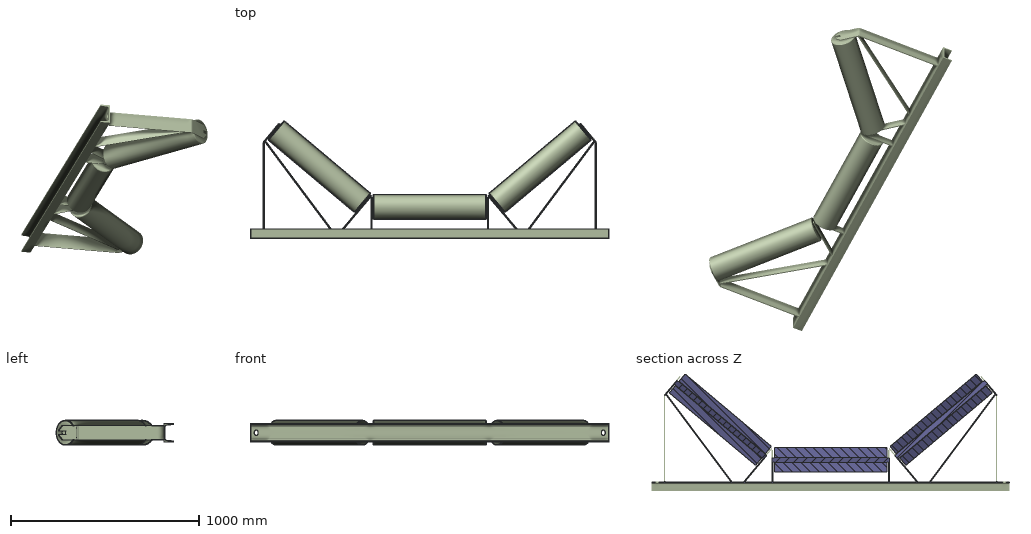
import cadquery as cq
import math

beam_length = 1900
beam_height = 100
flange_width = 50
web_thickness = 6
flange_thickness = 8.5
flange_taper = math.radians(4.574)
root_radius = 8.5
mount_slot_width = 18
mount_slot_height = 28
mount_slot_end_distance = 29

roller_radius = 133 / 2
roller_length = 600
roller_chamfer = 3
trough_angle = math.radians(40)
overall_depth = 622.25
wing_top_y = overall_depth - flange_width
wing_end_x = -815.5
centre_axis_y = 117
axle_radius = 12.5
axle_flat_width = 18

plate_thickness = 6
plate_gap = 6
outer_width = 75
inner_width = 50
plate_end_chamfer = 25
outer_reach = 38
centre_reach = 50
post_x = -880.5
bend_inner_radius = 10
brace_rise = 9
brace_foot_x = -524

outward = cq.Vector(-math.cos(trough_angle), math.sin(trough_angle), 0)
raised = cq.Vector(math.sin(trough_angle), math.cos(trough_angle), 0)
up = cq.Vector(0, 1, 0)
left = cq.Vector(-1, 0, 0)

wing_end_y = (
    wing_top_y - roller_radius * math.cos(trough_angle) + roller_chamfer * math.sin(trough_angle)
)
wing_end = cq.Vector(wing_end_x, wing_end_y, 0)
wing_centre = wing_end - outward * (roller_length / 2)
centre_centre = cq.Vector(0, centre_axis_y, 0)

plate_offset = roller_length / 2 + plate_gap + plate_thickness / 2
axle_length = roller_length + 2 * (plate_gap + plate_thickness)
foot_y = -web_thickness / 2


def extrude_centred(sketch, length):
    """Extrude a sketch so that its plane ends up halfway along the length."""
    half_way = sketch.plane.zDir * (length / 2)
    return sketch.extrude(length).translate(half_way * -1)


def make_beam():
    """Channel with tapered flanges and an upright slot through the web near each end."""
    half_height = beam_height / 2
    slope = math.tan(flange_taper)
    root_z = half_height - flange_thickness - slope * (flange_width / 2 - web_thickness)
    toe_z = half_height - flange_thickness + slope * flange_width / 2
    profile = [
        (0, -half_height),
        (0, half_height),
        (-flange_width, half_height),
        (-flange_width, toe_z),
        (-web_thickness, root_z),
        (-web_thickness, -root_z),
        (-flange_width, -toe_z),
        (-flange_width, -half_height),
    ]
    beam = extrude_centred(cq.Workplane("YZ").polyline(profile).close(), beam_length)
    for side in (-1, 1):
        root_edge = cq.selectors.NearestToPointSelector((0, -web_thickness, side * root_z))
        beam = beam.edges("|X").edges(root_edge).fillet(root_radius)
    slot_x = beam_length / 2 - mount_slot_end_distance
    slots = (
        cq.Workplane("XZ")
        .pushPoints([(-slot_x, 0), (slot_x, 0)])
        .slot2D(mount_slot_height, mount_slot_width, 90)
        .extrude(web_thickness)
    )
    return beam.cut(slots)


def plate_sketch(anchor, plate_up, plate_normal):
    """Workplane on a plate: X runs up the plate and Y runs across its width."""
    return cq.Workplane(
        cq.Plane(origin=anchor.toTuple(), xDir=plate_up.toTuple(), normal=plate_normal.toTuple())
    )


def make_plate(anchor, plate_up, plate_normal, reach, drop, width):
    """Flat bar through the anchor point, from drop below it to reach above it."""
    sketch = plate_sketch(anchor, plate_up, plate_normal)
    sketch = sketch.center((reach - drop) / 2, 0).rect(reach + drop, width)
    return extrude_centred(sketch, plate_thickness)


def make_slot(anchor, plate_up, plate_normal, reach):
    """Cutter for the slot, open at the top of a plate, that carries an axle end."""
    slot = plate_sketch(anchor, plate_up, plate_normal)
    slot = slot.center((reach - axle_radius) / 2, 0).rect(reach + axle_radius, axle_flat_width)
    return extrude_centred(slot, 2 * plate_thickness)


def make_outer_plate(anchor, reach, drop):
    """Slotted plate with chamfered top corners at the high end of the wing."""
    plate = make_plate(anchor, raised, outward, reach, drop, outer_width)
    end_face = plate.faces(cq.selectors.DirectionMinMaxSelector(raised, True))
    plate = end_face.edges("not |Z").chamfer(plate_end_chamfer)
    return plate.cut(make_slot(anchor, raised, outward, reach))


def make_inner_plate(anchor, plate_up, plate_normal, reach):
    """Slotted plate that runs straight down into the web of the beam."""
    drop = (anchor.y - foot_y) / plate_up.y
    plate = make_plate(anchor, plate_up, plate_normal, reach, drop, inner_width)
    return plate.cut(make_slot(anchor, plate_up, plate_normal, reach))


def make_bend(bend, leg):
    """Post from the beam up to the bend, and a slanted leg beyond it, with a rounded bend."""
    half = plate_thickness / 2
    mitre = half * math.tan(trough_angle / 2)
    outer_corner = bend + left * half + up * mitre
    inner_corner = bend - left * half - up * mitre
    leg_end = bend + raised * leg
    outline = [
        cq.Vector(bend.x - half, foot_y, 0),
        outer_corner,
        leg_end + outward * half,
        leg_end - outward * half,
        inner_corner,
        cq.Vector(bend.x + half, foot_y, 0),
    ]
    sketch = cq.Workplane("XY").polyline([(point.x, point.y) for point in outline]).close()
    strip = extrude_centred(sketch, outer_width)
    inner_edge = cq.selectors.NearestToPointSelector(inner_corner.toTuple())
    strip = strip.edges("|Z").edges(inner_edge).fillet(bend_inner_radius)
    outer_edge = cq.selectors.NearestToPointSelector(outer_corner.toTuple())
    return strip.edges("|Z").edges(outer_edge).fillet(bend_inner_radius + plate_thickness)


def make_wing_supports():
    """Plates of the left wing, including the left support of the centre roller."""
    outer_anchor = wing_centre + outward * plate_offset
    inner_anchor = wing_centre - outward * plate_offset
    centre_anchor = centre_centre + left * plate_offset

    outer_drop = (outer_anchor.x - post_x) / raised.x
    bend = outer_anchor - raised * outer_drop
    leg = outer_drop / 2
    outer_plate = make_outer_plate(outer_anchor, outer_reach, outer_drop - leg)
    post = make_bend(bend, leg)

    brace_foot = cq.Vector(brace_foot_x, foot_y, 0)
    brace_vector = bend + raised * brace_rise - brace_foot
    brace_up = brace_vector.normalized()
    brace_normal = cq.Vector(-brace_up.y, brace_up.x, 0)
    brace = make_plate(brace_foot, brace_up, brace_normal, brace_vector.Length, 0, inner_width)

    inner_reach = (centre_anchor.x - plate_thickness / 2 - inner_anchor.x) / raised.x
    inner_plate = make_inner_plate(inner_anchor, raised, outward, inner_reach)
    centre_plate = make_inner_plate(centre_anchor, up, left, centre_reach)
    return outer_plate.union(post).union(brace).union(inner_plate).union(centre_plate)


def make_frame():
    """Welded frame: the beam with the supports of both wings."""
    left_supports = make_wing_supports()
    right_supports = left_supports.mirror("YZ")
    return make_beam().union(left_supports).union(right_supports)


def roller_sketch(centre, axis):
    """Workplane square to a roller axis, with its X axis along the global Z."""
    return cq.Workplane(cq.Plane(origin=centre.toTuple(), xDir=(0, 0, 1), normal=axis.toTuple()))


def make_axle(centre, axis):
    """Round bar with two flats at each end, where it sits in the plate slots."""
    axle = extrude_centred(roller_sketch(centre, axis).circle(axle_radius), axle_length)
    flat_depth = axle_radius - axle_flat_width / 2
    flat_length = (axle_length - roller_length) / 2
    for end in (-1, 1):
        flat_centre = centre + axis * (end * (axle_length - flat_length) / 2)
        for side in (-1, 1):
            flat = roller_sketch(flat_centre, axis)
            flat = flat.center(side * (axle_flat_width + flat_depth) / 2, 0)
            flat = flat.rect(flat_depth, 2 * axle_radius)
            axle = axle.cut(extrude_centred(flat, flat_length))
    return axle


def make_roller(centre, axis):
    """Cylinder with chamfered rims, bored through for its axle."""
    cylinder = extrude_centred(roller_sketch(centre, axis).circle(roller_radius), roller_length)
    cylinder = cylinder.edges("%CIRCLE").chamfer(roller_chamfer)
    return cylinder.cut(extrude_centred(roller_sketch(centre, axis).circle(axle_radius), roller_length))


frame = make_frame()
bodies = [frame.val()]
right_centre = cq.Vector(-wing_centre.x, wing_centre.y, 0)
right_outward = cq.Vector(-outward.x, outward.y, 0)
roller_places = [
    (wing_centre, outward),
    (centre_centre, left),
    (right_centre, right_outward),
]
for place_centre, place_axis in roller_places:
    bodies.append(make_roller(place_centre, place_axis).val())
    bodies.append(make_axle(place_centre, place_axis).val())

result = cq.Compound.makeCompound(bodies)